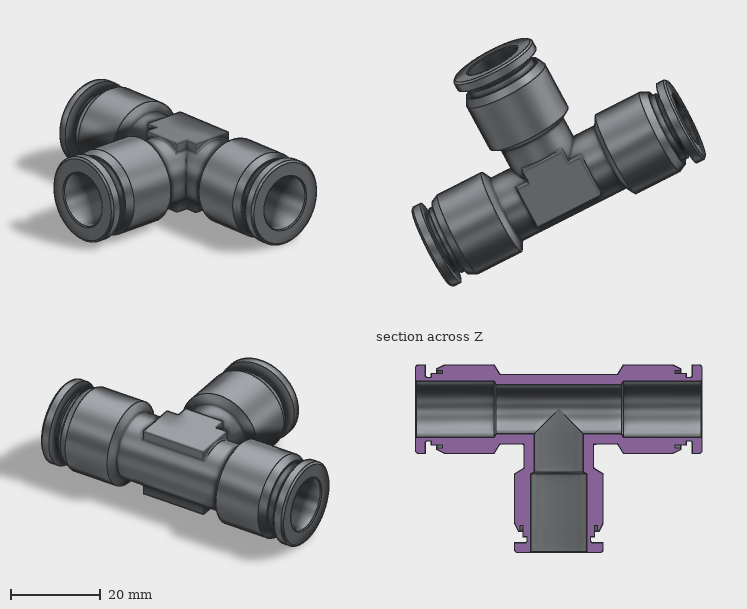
import cadquery as cq
import math

arm_length = 32.0

flange_radius = 9.9
flange_chamfer = 0.45
flange_thickness = 2.25
groove_radius = 7.1
groove_chamfer = 0.3
groove_end = 3.5
collar_radius = 8.0

recess_radius = 8.65
recess_depth = 1.3

body_radius = flange_radius
body_nose_radius = 9.0
body_nose_start = 4.75
body_nose_end = 6.5
body_rear_start = 17.6
body_rear_end = 18.9
body_rear_fillet = 0.25
neck_radius = 7.8

mouth_radius = 6.45
mouth_chamfer = 0.25
socket_radius = mouth_radius - mouth_chamfer
socket_depth = body_rear_start
passage_radius = 5.45
cone_length = 0.4

pad_half_length = 8.0
pad_half_width = 5.0
pad_height = 8.4
pad_edge_round = 0.2
pad_foot_fillet = 0.3


def depth_to_x(depth):
    """X position at a given depth behind the end face of the +X arm."""
    return arm_length - depth


def revolve_about_x(points):
    return cq.Workplane("XY").polyline(points).close().revolve(360, (0, 0, 0), (1, 0, 0))


def on_all_arms(arm):
    """Repeat a +X arm on the -X side and on the -Y branch."""
    branch = arm.rotate((0, 0, 0), (0, 0, 1), -90)
    return arm.union(arm.mirror("YZ")).union(branch)


def solid_arm():
    """Neck, socket body and release collar of the +X arm, without the bore."""
    neck_end = depth_to_x(body_rear_end)
    recess_floor = depth_to_x(body_nose_start + recess_depth)
    flange_back = depth_to_x(flange_thickness)
    arm = revolve_about_x([
        (0, 0),
        (0, neck_radius),
        (neck_end, neck_radius),
        (depth_to_x(body_rear_start), body_radius),
        (depth_to_x(body_nose_end), body_radius),
        (depth_to_x(body_nose_start), body_nose_radius),
        (depth_to_x(body_nose_start), recess_radius),
        (recess_floor, recess_radius),
        (recess_floor, collar_radius),
        (depth_to_x(groove_end), collar_radius),
        (depth_to_x(groove_end), groove_radius),
        (flange_back - groove_chamfer, groove_radius),
        (flange_back, groove_radius + groove_chamfer),
        (flange_back, flange_radius),
        (depth_to_x(flange_chamfer), flange_radius),
        (arm_length, flange_radius - flange_chamfer),
        (arm_length, 0),
    ])
    neck_corner = cq.selectors.NearestToPointSelector((neck_end, 0, 0))
    return arm.edges("%CIRCLE").edges(neck_corner).fillet(body_rear_fillet)


def arm_bore():
    """Hollow of the +X arm, from the center of the tee to the mouth."""
    return revolve_about_x([
        (0, 0),
        (0, passage_radius),
        (depth_to_x(socket_depth + cone_length), passage_radius),
        (depth_to_x(socket_depth), socket_radius),
        (depth_to_x(mouth_chamfer), socket_radius),
        (arm_length, mouth_radius),
        (arm_length, 0),
    ])


def pad_block():
    """Sharp-edged T-shaped block whose end faces are the two pads."""
    outline = [
        (-pad_half_length, pad_half_width),
        (pad_half_length, pad_half_width),
        (pad_half_length, -pad_half_width),
        (pad_half_width, -pad_half_width),
        (pad_half_width, -pad_half_length),
        (-pad_half_width, -pad_half_length),
        (-pad_half_width, -pad_half_width),
        (-pad_half_length, -pad_half_width),
    ]
    return cq.Workplane("XY").polyline(outline).close().extrude(pad_height, both=True)


def fillet_pad_feet(tee):
    """Fillet the edges where the pad walls run down into the round necks."""
    margin = pad_foot_fillet / 2
    reach = pad_half_length + margin
    lowest = math.sqrt(neck_radius**2 - pad_half_width**2) - margin
    top_feet = cq.selectors.BoxSelector((-reach, -reach, lowest), (reach, reach, neck_radius))
    bottom_feet = cq.selectors.BoxSelector((-reach, -reach, -neck_radius), (reach, reach, -lowest))
    return tee.edges(top_feet + bottom_feet).edges("not |Z").fillet(pad_foot_fillet)


def round_pad_edges(tee):
    """Round the pad outlines and the upright corners of the pad walls."""
    pad_outlines = tee.faces("|Z").edges()
    return tee.edges("|Z").add(pad_outlines).fillet(pad_edge_round)


tee = on_all_arms(solid_arm()).union(pad_block())
tee = round_pad_edges(fillet_pad_feet(tee))
result = tee.cut(on_all_arms(arm_bore()))